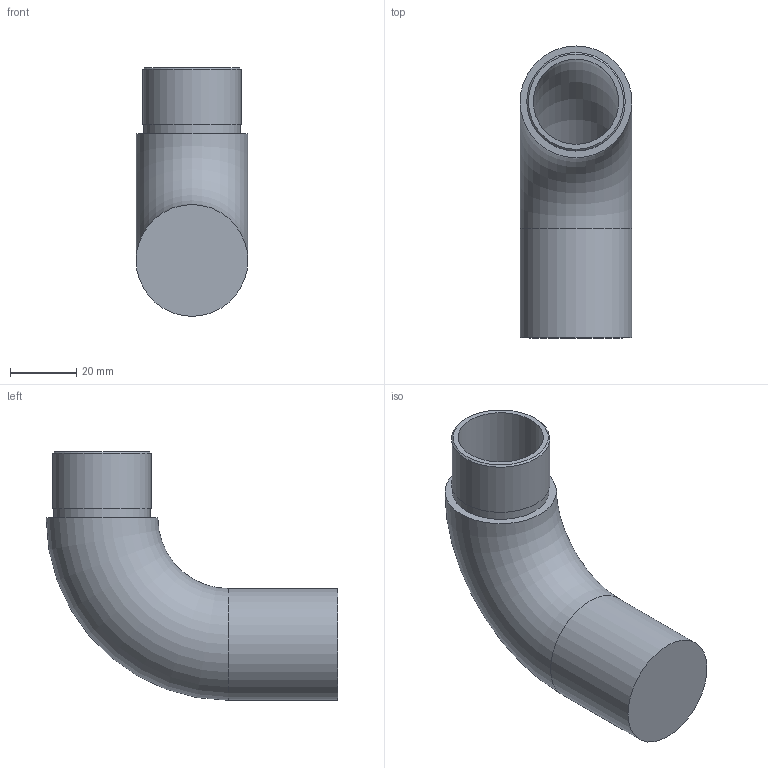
import cadquery as cq

tube_diameter = 33.7
overall_length = 88.0
overall_height = 75.0

spigot_length = 20.0
spigot_diameter = 29.7
spigot_chamfer = 0.5
relief_diameter = 29.1
relief_length = 2.8

bore_diameter = 25.7

tube_radius = tube_diameter / 2
bend_radius = overall_height - spigot_length - tube_radius
leg_length = overall_length - bend_radius - tube_radius
bend_angle = 90.0


def quarter_bend(diameter):
    """Round quarter bend from the origin, facing +Z, down to the straight leg, facing -Y."""
    return (
        cq.Workplane("XY")
        .circle(diameter / 2)
        .revolve(bend_angle, (0, -bend_radius, 0), (-1, -bend_radius, 0))
    )


def straight_leg():
    """Solid round leg running along -Y from the lower end of the bend."""
    return (
        cq.Workplane("XZ", origin=(0, -bend_radius, -bend_radius))
        .circle(tube_radius)
        .extrude(leg_length)
    )


def spigot():
    """Spigot with a relief groove at its base and a chamfered rim."""
    relief = cq.Workplane("XY").circle(relief_diameter / 2).extrude(relief_length)
    sleeve = (
        cq.Workplane("XY", origin=(0, 0, relief_length))
        .circle(spigot_diameter / 2)
        .extrude(spigot_length - relief_length)
        .faces(">Z")
        .chamfer(spigot_chamfer)
    )
    return relief.union(sleeve)


def bore():
    """Bore from the spigot rim to the end of the bend; the straight leg stays solid."""
    spigot_bore = cq.Workplane("XY").circle(bore_diameter / 2).extrude(spigot_length)
    return spigot_bore.union(quarter_bend(bore_diameter))


result = quarter_bend(tube_diameter).union(straight_leg()).union(spigot()).cut(bore())